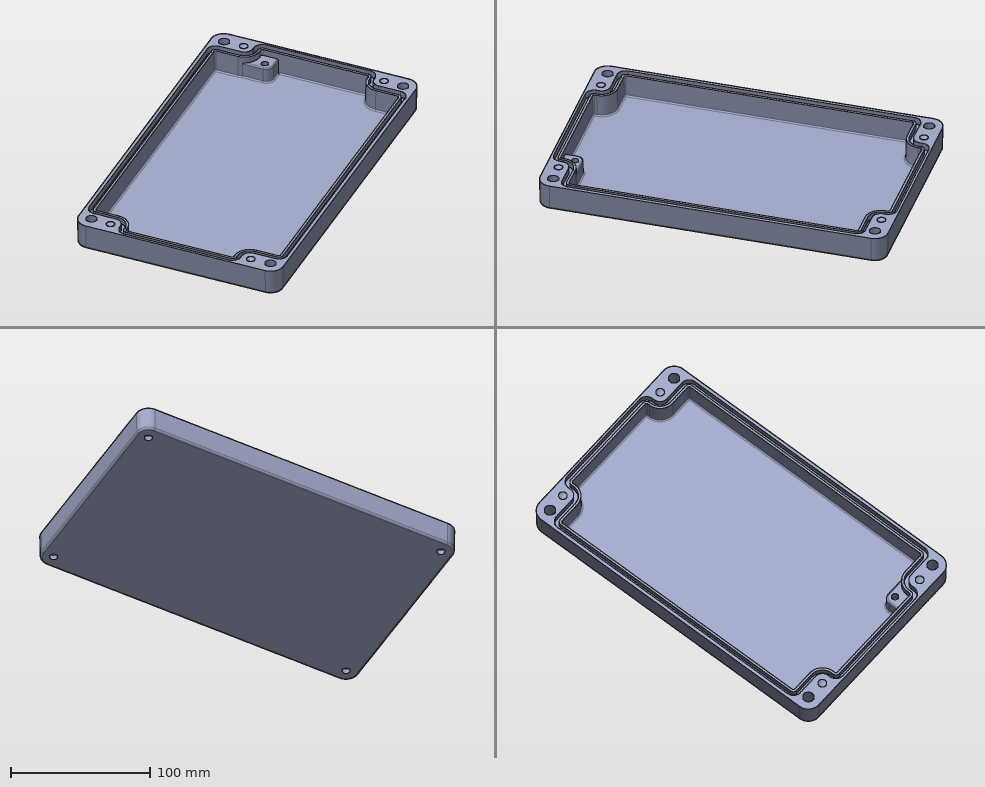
import cadquery as cq
import math

WIDTH = 160.0
LENGTH = 260.0
HEIGHT = 20.0
CORNER_RADIUS = 10.0
OUTER_DRAFT = 1.0
BASE_ROUND = 1.5
FLOOR_THICKNESS = 2.0

RIM_SIDE = 2.5
RIM_END = 1.8
PILLAR_X = 47.3
PILLAR_Y = 113.4
OUTLINE_RADIUS = 6.5

GROOVE_WIDTH = 3.5
GROOVE_DEPTH = 5.2
LIP_WIDTH = 1.8
LIP_DROP = 0.8
CAVITY_DRAFT = 1.5
FLOOR_ROUND = 1.0

MOUNT_X = 70.0
MOUNT_Y = 120.0
MOUNT_DIAMETER = 5.7
MOUNT_BORE_DIAMETER = 8.0
MOUNT_BORE_DEPTH = 15.5
DIMPLE_X = 54.9
DIMPLE_Y = 120.6
DIMPLE_DIAMETER = 6.2
DIMPLE_DEPTH = 0.3
DRILL_ANGLE = 118.0

BLOCK_RIGHT_X = -28.3
BLOCK_FRONT_Y = 108.2
BLOCK_TOP_Z = 14.3
BLOCK_RADIUS = 5.7
BLOCK_TOP_ROUND = 1.0
BLOCK_HOLE_X = -35.4
BLOCK_HOLE_Y = 114.0
BLOCK_HOLE_DIAMETER = 5.2
BLOCK_HOLE_DEPTH = 6.5

CAVITY_INSET = GROOVE_WIDTH + LIP_WIDTH


def tray_blank():
    """Drafted outer body with a rounded base edge."""
    return (
        cq.Workplane("XY", origin=(0, 0, HEIGHT))
        .sketch()
        .rect(WIDTH, LENGTH)
        .vertices()
        .fillet(CORNER_RADIUS)
        .finalize()
        .extrude(-HEIGHT, taper=OUTER_DRAFT)
        .faces("<Z")
        .edges()
        .fillet(BASE_ROUND)
    )


def recess(inset, bottom_z, draft=0):
    """Space inside the stepped rim outline moved inwards by inset, from bottom_z to the top."""
    depth = HEIGHT - bottom_z
    side = WIDTH / 2 - RIM_SIDE
    end = LENGTH / 2 - RIM_END
    across = cq.Workplane("XY", origin=(0, 0, bottom_z)).rect(2 * side, 2 * PILLAR_Y).extrude(depth)
    along = cq.Workplane("XY", origin=(0, 0, bottom_z)).rect(2 * PILLAR_X, 2 * end).extrude(depth)
    full = across.union(along).edges("|Z").fillet(OUTLINE_RADIUS)
    if inset == 0:
        return full
    top_outline = full.faces(">Z").wires().toPending().offset2D(-inset)
    return top_outline.extrude(-depth, combine=False, taper=draft)


def drilled_hole(x, y, top_z, diameter, depth):
    """Blind round hole with a conical drill point below its straight depth."""
    radius = diameter / 2
    point = radius / math.tan(math.radians(DRILL_ANGLE / 2))
    return (
        cq.Workplane("XZ", origin=(x, y, top_z))
        .polyline([(0, 0), (radius, 0), (radius, -depth), (0, -depth - point)])
        .close()
        .revolve(360, (0, 0), (0, 1))
    )


def terminal_block():
    """Low block filling the cavity between one pillar and the nearby end wall."""
    left_x = -PILLAR_X - OUTLINE_RADIUS
    back_y = LENGTH / 2
    block = (
        cq.Workplane("XY")
        .moveTo((left_x + BLOCK_RIGHT_X) / 2, (BLOCK_FRONT_Y + back_y) / 2)
        .rect(BLOCK_RIGHT_X - left_x, back_y - BLOCK_FRONT_Y)
        .extrude(BLOCK_TOP_Z, taper=CAVITY_DRAFT)
        .faces(">X")
        .edges("<Y")
        .fillet(BLOCK_RADIUS)
    )
    return block.faces(">Z").edges("not (<X or >Y)").fillet(BLOCK_TOP_ROUND)


def cavity():
    """Main hollow with a rounded floor edge, leaving the terminal block standing."""
    hollow = recess(CAVITY_INSET, FLOOR_THICKNESS, CAVITY_DRAFT).cut(terminal_block())
    return hollow.faces("<Z").edges().fillet(FLOOR_ROUND)


def seal_groove():
    """Channel just inside the rim, together with the drop down to the lip."""
    bottom_z = HEIGHT - GROOVE_DEPTH
    channel = recess(0, bottom_z).cut(recess(GROOVE_WIDTH, bottom_z))
    return channel.union(recess(0, HEIGHT - LIP_DROP))


result = tray_blank().cut(seal_groove()).cut(cavity())

for side_x in (-1, 1):
    for side_y in (-1, 1):
        mount = cq.Workplane("XY").center(side_x * MOUNT_X, side_y * MOUNT_Y)
        result = result.cut(mount.circle(MOUNT_DIAMETER / 2).extrude(HEIGHT))
        bore = mount.workplane(offset=HEIGHT).circle(MOUNT_BORE_DIAMETER / 2)
        result = result.cut(bore.extrude(-MOUNT_BORE_DEPTH))
        dimple_x = side_x * DIMPLE_X
        dimple_y = side_y * DIMPLE_Y
        result = result.cut(drilled_hole(dimple_x, dimple_y, HEIGHT, DIMPLE_DIAMETER, DIMPLE_DEPTH))

result = result.cut(
    drilled_hole(BLOCK_HOLE_X, BLOCK_HOLE_Y, BLOCK_TOP_Z, BLOCK_HOLE_DIAMETER, BLOCK_HOLE_DEPTH)
)